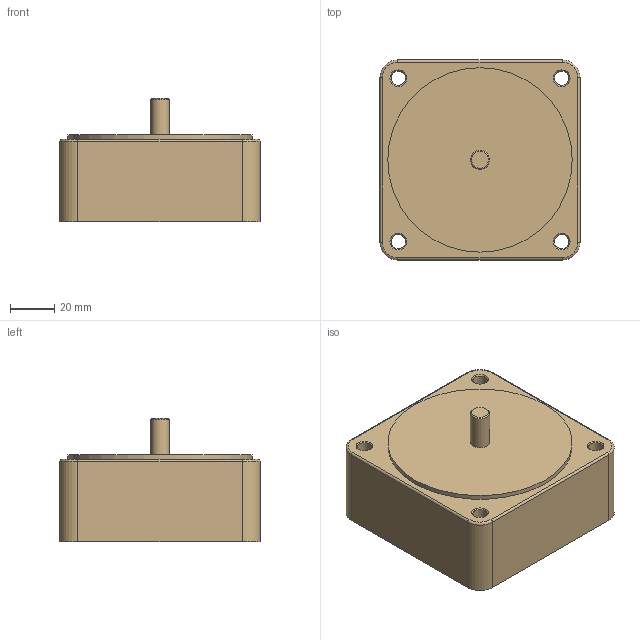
import cadquery as cq
import math

body_width = 90.0
body_height = 37.0
corner_radius = 8.0
top_edge_radius = 1.0

pilot_diameter = 83.0
pilot_height = 2.0

shaft_diameter = 8.61
total_height = 55.5
shaft_chamfer = 0.5

bolt_circle_diameter = 104.0
hole_spacing = bolt_circle_diameter / math.sqrt(2)
hole_diameter = 6.5
rim_chamfer = 0.5
rim_diameter = hole_diameter + 2 * rim_chamfer
rim_cone_angle = 90.0


def make_housing():
    """Square block with rounded corners and a rounded top edge."""
    block = cq.Workplane("XY").box(body_width, body_width, body_height, centered=(True, True, False))
    rounded = block.edges("|Z").fillet(corner_radius)
    return rounded.faces(">Z").edges().fillet(top_edge_radius)


def cut_mounting_holes(housing):
    """Drill the four through holes and chamfer their top rims."""
    top_plane = housing.faces(">Z").workplane(origin=(0, 0, body_height))
    centers = top_plane.rect(hole_spacing, hole_spacing, forConstruction=True).vertices()
    return centers.cskHole(hole_diameter, rim_diameter, rim_cone_angle)


def make_pilot():
    """Shallow locating disc standing on the housing."""
    base = cq.Workplane("XY", origin=(0, 0, body_height))
    return base.circle(pilot_diameter / 2).extrude(pilot_height)


def make_shaft():
    """Round shaft with a chamfered end, rising from the housing through the disc."""
    base = cq.Workplane("XY", origin=(0, 0, body_height))
    shaft = base.circle(shaft_diameter / 2).extrude(total_height - body_height)
    return shaft.faces(">Z").edges().chamfer(shaft_chamfer)


drilled_housing = cut_mounting_holes(make_housing())
result = drilled_housing.union(make_pilot()).union(make_shaft())